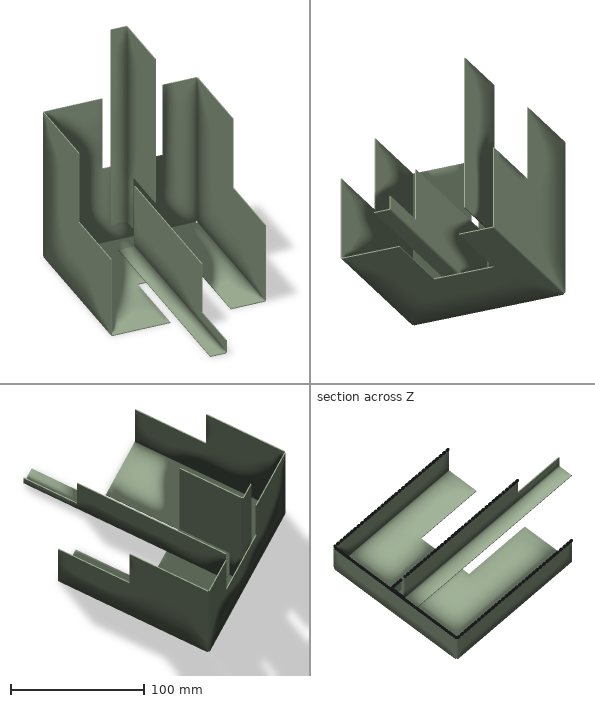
import cadquery as cq

OVERALL = 186.0
BOX_SIDE = 127.0
SHEET = 0.8

BOX_BEND = 1.3
SEAM = 1.0
RELIEF = 1.7
STEP = 67.0
SLOT_FRONT = 48.7
SLOT_WIDTH = 49.5
SLOT_START = 65.8

FLOOR_EDGES = "(<X and <Z) or (<Z and <Y) or (<Z and >Y)"

BRACKET_BEND = 1.7
BRACKET_START = 15.6
BRACKET_LENGTH = OVERALL - BRACKET_START
WIDE_LENGTH = 125.2
WIDE_WIDTH = 53.5
NARROW_WIDTH = 11.5
FLANGE_WIDTH = 13.5
WEB_BACK = 69.0


def make_box():
    """Three-sided sheet corner: left wall, floor and two stepped side walls."""
    outer = (
        cq.Workplane("XY")
        .box(BOX_SIDE, BOX_SIDE, BOX_SIDE, centered=False)
        .edges(FLOOR_EDGES)
        .fillet(BOX_BEND)
    )
    cavity = (
        cq.Workplane("XY")
        .box(BOX_SIDE, BOX_SIDE - 2 * SHEET, BOX_SIDE, centered=False)
        .translate((SHEET, SHEET, SHEET))
        .edges(FLOOR_EDGES)
        .fillet(BOX_BEND - SHEET)
    )
    body = outer.cut(cavity)

    step = (
        cq.Workplane("XY")
        .box(BOX_SIDE, BOX_SIDE, BOX_SIDE, centered=False)
        .translate((STEP, 0, STEP))
    )
    body = body.cut(step)

    slot = cq.Workplane("XY").box(BOX_SIDE, SLOT_WIDTH, BOX_SIDE, centered=False)
    body = body.cut(slot.translate((SLOT_START - BOX_SIDE, SLOT_FRONT, SLOT_START)))
    body = body.cut(slot.translate((SLOT_START, SLOT_FRONT, SLOT_START - BOX_SIDE)))

    seam = cq.Workplane("XY").box(SEAM, SEAM, BOX_SIDE, centered=False)
    relief = cq.Workplane("XY").box(RELIEF, RELIEF, RELIEF, centered=False)
    body = body.cut(seam).cut(seam.translate((0, BOX_SIDE - SEAM, 0)))
    body = body.cut(relief).cut(relief.translate((0, BOX_SIDE - RELIEF, 0)))
    return body


def make_bracket():
    """Bent angle lying along X, with its flange on the floor and its web upright."""
    profile = (
        cq.Workplane("YZ", origin=(BRACKET_START, 0, 0))
        .moveTo(WEB_BACK - FLANGE_WIDTH, SHEET)
        .hLineTo(WEB_BACK - BRACKET_BEND)
        .radiusArc((WEB_BACK, SHEET + BRACKET_BEND), -BRACKET_BEND)
        .vLineTo(SHEET + WIDE_WIDTH)
        .hLineTo(WEB_BACK - SHEET)
        .vLineTo(SHEET + BRACKET_BEND)
        .radiusArc((WEB_BACK - BRACKET_BEND, 2 * SHEET), BRACKET_BEND - SHEET)
        .hLineTo(WEB_BACK - FLANGE_WIDTH)
        .close()
    )
    body = profile.extrude(BRACKET_LENGTH)
    notch = (
        cq.Workplane("XY")
        .box(BRACKET_LENGTH - WIDE_LENGTH, WEB_BACK, WIDE_WIDTH, centered=False)
        .translate((BRACKET_START + WIDE_LENGTH, 0, SHEET + NARROW_WIDTH))
    )
    return body.cut(notch)


def stand_upright(bracket):
    """Turn a floor bracket about Y so its flange lies on the left wall, narrow end down."""
    turned = bracket.rotate((0, 0, 0), (0, 1, 0), 90)
    return turned.translate((0, 0, BRACKET_START + OVERALL))


box = make_box()
floor_bracket = make_bracket()
wall_bracket = stand_upright(make_bracket())

result = cq.Compound.makeCompound([box.val(), floor_bracket.val(), wall_bracket.val()])